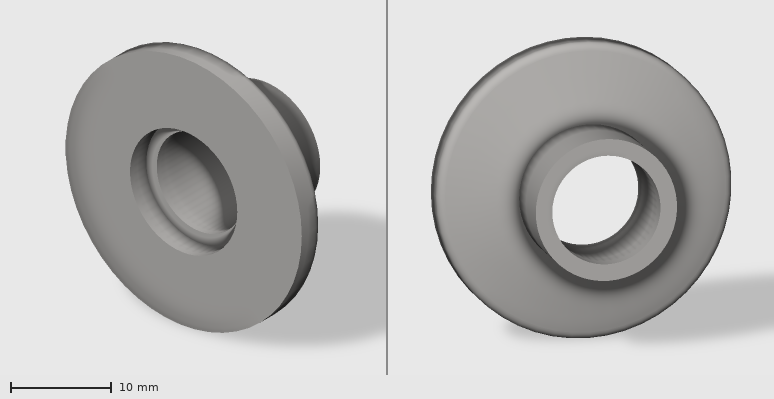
import cadquery as cq
import math

flange_radius = 15.0
rim_width = 2.25
rim_round = 1.0
cone_angle = math.radians(15)

total_length = 12.7
tube_radius = 7.17
bore_radius = 5.5

recess_radius = 6.8
recess_depth = 2.58

round_center_radius = flange_radius - rim_round


def round_point(angle):
    """Point (radius, axial position) on the rim round, measured from the axial direction."""
    return (
        round_center_radius + rim_round * math.sin(angle),
        rim_width + rim_round * math.cos(angle),
    )


cone_start = round_point(cone_angle)
round_middle = round_point((cone_angle + math.pi / 2) / 2)
cone_end = cone_start[1] + (cone_start[0] - tube_radius) * math.tan(cone_angle)

result = (
    cq.Workplane("XY")
    .moveTo(recess_radius, 0)
    .lineTo(flange_radius, 0)
    .lineTo(flange_radius, rim_width)
    .threePointArc(round_middle, cone_start)
    .lineTo(tube_radius, cone_end)
    .lineTo(tube_radius, total_length)
    .lineTo(bore_radius, total_length)
    .lineTo(bore_radius, recess_depth)
    .lineTo(recess_radius, recess_depth)
    .close()
    .revolve(360, (0, 0, 0), (0, 1, 0))
)